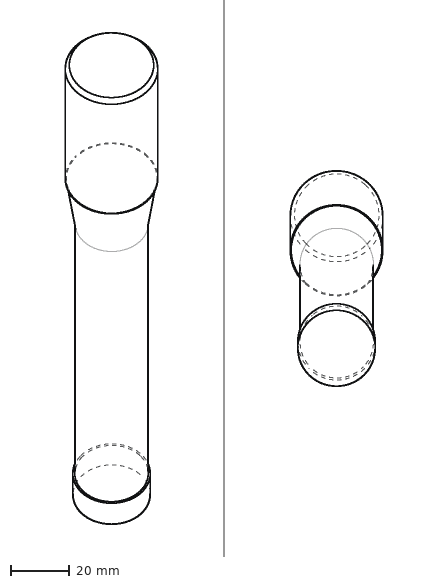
import cadquery as cq

total_length = 235.7
cone_height = 5.0
tip_top = 16.3
taper_bottom = 150.9
taper_top = 175.0

shank_diameter = 31.8
taper_top_diameter = 31.0
neck_diameter = 25.2
tip_diameter = 26.6

shank_chamfer_width = 1.5
shank_chamfer_height = 2.0


def revolve_profile(points):
    """Turn a closed (radius, height) outline about the Z axis."""
    return cq.Workplane("XZ").polyline(points).close().revolve(360, (0, 0), (0, 1))


def make_holder():
    """Thick shank with a narrow ledge above a taper that leads to a long, slimmer neck."""
    shank_radius = shank_diameter / 2
    neck_radius = neck_diameter / 2
    return revolve_profile([
        (0, tip_top),
        (neck_radius, tip_top),
        (neck_radius, taper_bottom),
        (taper_top_diameter / 2, taper_top),
        (shank_radius, taper_top),
        (shank_radius, total_length - shank_chamfer_height),
        (shank_radius - shank_chamfer_width, total_length),
        (0, total_length),
    ])


def make_tip():
    """Cylindrical drill tip with a conical point, seated on the neck's flat end."""
    tip_radius = tip_diameter / 2
    return revolve_profile([
        (0, 0),
        (tip_radius, cone_height),
        (tip_radius, tip_top),
        (0, tip_top),
    ])


holder = make_holder()
tip = make_tip()

result = cq.Compound.makeCompound([holder.val(), tip.val()])